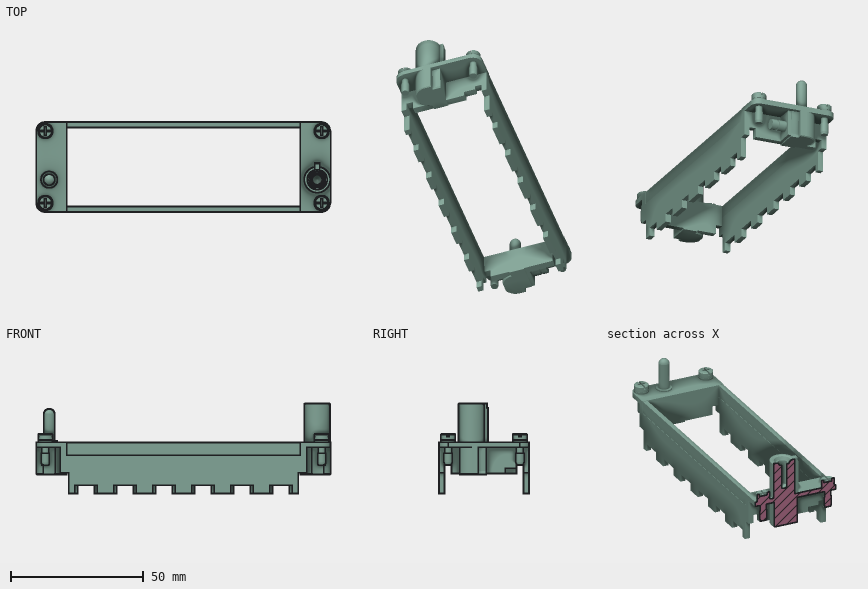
import cadquery as cq
import math

length = 111.0
width = 34.0
plate_top = 19.4
plate_thickness = 2.0
plate_bottom = plate_top - plate_thickness
corner_radius = 3.4
end_pad = 0.2

opening_half = 44.0
wall_thickness = 2.1
wall_outer = width / 2
wall_inner = wall_outer - wall_thickness
wall_half = 43.3
ear_half = 46.5
ear_bottom = 7.8
panel_bottom = 14.4
panel_recess = 0.1

notch_count = 6
notch_span = 73.5
notch_pitch = notch_span / (notch_count - 1)
notch_height = 3.1
front_notch_width = 8.5
rear_notch_width = 6.2

cross_half_width = 12.3
cross_bottom = 7.5
corner_web_bottom = 11.1
cross_notch_width = 4.3
cross_notch_bottom = 9.5

guide_y = -4.8
boss_radius = 4.9
guide_pin_x = boss_radius - length / 2
boss_bottom = 7.1
boss_chamfer = 0.3
boss_flat_y = -9.1
boss_high_y = 0.9
boss_step_y = -2.2
step_top_x = -54.0
step_waist_x = -53.3
step_foot_x = -53.5
step_waist_z = 8.4

pin_radius = 2.1
pin_shoulder = 30.2
pin_tip = 32.0
pin_collar_radius = 3.1
pin_collar_height = 0.5

socket_top = 34.0
socket_x = 50.4
socket_radius = boss_radius
socket_edge = 0.4
socket_mouth_radius = 3.8
socket_mouth_depth = 0.2
socket_throat_radius = 3.1
socket_ledge_radius = 2.4
socket_ledge_depth = 1.3
socket_hole_radius = 1.9
socket_hole_depth = 11.1
key_width = 2.0
key_reach = 6.3
key_step = 0.3
key_step_height = 1.7

screw_x = length / 2 - corner_radius
screw_y = width / 2 - corner_radius
washer_radius = 2.8
washer_height = 0.7
groove_radius = 2.7
groove_height = 0.2
head_top = 22.5
head_chamfer = 0.3
slot_width = 0.7
slot_depth = 1.1
cross_slot_length = 3.1
shank_radius = 1.3
thread_radius = 1.5
thread_top = 15.2
thread_chamfer_start = 11.8
screw_tip = 10.8
screw_tip_radius = 1.3

lug_low_y = boss_high_y
lug_high_y = 2.1
lug_end_x = -53.6
terminal_x = -50.5
terminal_z = 12.1
terminal_radius = 2.0
terminal_end_y = 8.0
terminal_groove_y = 5.2
terminal_groove_width = 0.7
terminal_groove_depth = 0.3


def block(x0, x1, y0, y1, z0, z1):
    """Axis-aligned box between two opposite corners."""
    return cq.Workplane("XY").box(x1 - x0, y1 - y0, z1 - z0, centered=False).translate((x0, y0, z0))


def cylinder(x, y, radius, z0, z1):
    """Upright cylinder from z0 to z1."""
    return cq.Workplane("XY", origin=(x, y, z0)).circle(radius).extrude(z1 - z0)


def end_plates():
    plate_end = length / 2 - end_pad
    plate = block(-length / 2, plate_end, -wall_outer, wall_outer, plate_bottom, plate_top)
    plate = plate.edges("|Z").fillet(corner_radius)
    pad_half_width = wall_outer - corner_radius
    plate = plate.union(
        block(opening_half, length / 2, -pad_half_width, pad_half_width, plate_bottom, plate_top)
    )
    return plate.cut(block(-opening_half, opening_half, -width, width, 0, plate_top))


def side_wall(side, notch_width):
    """Toothed wall; side is -1 for the -Y wall and +1 for the +Y wall."""
    inner, outer = sorted((side * wall_inner, side * wall_outer))
    wall = block(-wall_half, wall_half, inner, outer, 0, plate_top)
    wall = wall.union(block(-ear_half, ear_half, inner, outer, ear_bottom, plate_top))
    for face in (wall_inner, wall_outer):
        y = side * face
        wall = wall.cut(
            block(-opening_half, opening_half, y - panel_recess, y + panel_recess, panel_bottom, plate_top)
        )
    panel_top = plate_top - panel_recess
    wall = wall.cut(block(-opening_half, opening_half, inner, outer, panel_top, plate_top))
    for i in range(notch_count):
        x = (i - (notch_count - 1) / 2) * notch_pitch
        wall = wall.cut(block(x - notch_width / 2, x + notch_width / 2, inner, outer, 0, notch_height))
    return wall


def cross_wall():
    """Wall closing the -X end of the opening."""
    wall = block(-ear_half, -opening_half, -cross_half_width, cross_half_width, cross_bottom, plate_top)
    return wall.union(block(-ear_half, -opening_half, -wall_inner, wall_inner, corner_web_bottom, plate_top))


def boss():
    """Solid boss under the -X end plate, carrying the guide pin."""
    tip = -length / 2
    flat = block(tip, -opening_half, boss_flat_y, boss_high_y, boss_bottom, plate_bottom)
    body = cylinder(guide_pin_x, guide_y, boss_radius, boss_bottom, plate_bottom)
    body = body.faces("<Z").chamfer(boss_chamfer).intersect(flat)
    base = block(tip, -opening_half, guide_y, boss_high_y, boss_bottom, plate_bottom)
    body = body.union(base.faces("<X").edges("<Z").chamfer(boss_chamfer))
    step = (
        cq.Workplane("XZ", origin=(0, boss_high_y, 0))
        .polyline(
            [
                (tip, boss_bottom),
                (step_foot_x, boss_bottom),
                (step_waist_x, step_waist_z),
                (step_top_x, plate_bottom),
                (tip, plate_bottom),
            ]
        )
        .close()
        .extrude(boss_high_y - boss_step_y)
    )
    return body.cut(step)


def guide_pin():
    dome_radius = (pin_radius**2 + (pin_tip - pin_shoulder) ** 2) / (2 * (pin_tip - pin_shoulder))
    dome_center = pin_tip - dome_radius
    dome_mid = pin_radius / 2
    pin = (
        cq.Workplane("XZ")
        .moveTo(0, plate_bottom)
        .lineTo(pin_radius, plate_bottom)
        .lineTo(pin_radius, pin_shoulder)
        .threePointArc((dome_mid, dome_center + math.sqrt(dome_radius**2 - dome_mid**2)), (0, pin_tip))
        .close()
        .revolve(360, (0, 0, 0), (0, 1, 0))
        .translate((guide_pin_x, guide_y, 0))
    )
    return pin.union(
        cylinder(guide_pin_x, guide_y, pin_collar_radius, plate_bottom, plate_top + pin_collar_height)
    )


def guide_socket():
    body = cylinder(socket_x, guide_y, socket_radius, plate_bottom, socket_top).faces(">Z").fillet(socket_edge)
    key_y = guide_y + key_reach
    key_x0 = socket_x - key_width / 2
    key_x1 = socket_x + key_width / 2
    key = block(key_x0, key_x1, guide_y, key_y, plate_bottom, socket_top)
    key = key.cut(block(key_x0, key_x1, key_y - key_step, key_y, socket_top - key_step_height, socket_top))
    ledge = socket_top - socket_ledge_depth
    hole_bottom = socket_top - socket_hole_depth
    cavity = (
        cq.Workplane("XZ")
        .polyline(
            [
                (0, socket_top),
                (socket_mouth_radius, socket_top),
                (socket_throat_radius, socket_top - socket_mouth_depth),
                (socket_ledge_radius, ledge),
                (socket_hole_radius, ledge),
                (socket_hole_radius, hole_bottom),
                (0, hole_bottom - socket_hole_radius),
            ]
        )
        .close()
        .revolve(360, (0, 0, 0), (0, 1, 0))
        .translate((socket_x, guide_y, 0))
    )
    return body.union(key).cut(cavity)


def corner_screw():
    """Captive screw standing on the Z axis, with a slotted cross-recess head."""
    washer_top = plate_top + washer_height
    head_bottom = washer_top + groove_height
    screw = (
        cq.Workplane("XZ")
        .polyline(
            [
                (0, head_top),
                (washer_radius - head_chamfer, head_top),
                (washer_radius, head_top - head_chamfer),
                (washer_radius, head_bottom),
                (groove_radius, head_bottom),
                (groove_radius, washer_top),
                (washer_radius, washer_top),
                (washer_radius, plate_top),
                (shank_radius, plate_top),
                (shank_radius, thread_top),
                (thread_radius, thread_top),
                (thread_radius, thread_chamfer_start),
                (screw_tip_radius, screw_tip),
                (0, screw_tip),
            ]
        )
        .close()
        .revolve(360, (0, 0, 0), (0, 1, 0))
    )
    half = slot_width / 2
    slot_bottom = head_top - slot_depth
    screw = screw.cut(block(-washer_radius, washer_radius, -half, half, slot_bottom, head_top))
    reach = cross_slot_length / 2
    return screw.cut(block(-half, half, -reach, reach, slot_bottom, head_top))


def earth_terminal():
    """Lug beside the boss with a grooved terminal stud pointing along +Y."""
    lug = block(lug_end_x, -opening_half, lug_low_y, lug_high_y, cross_bottom, plate_top)

    def stud(radius, y0, y1):
        return cq.Workplane("XZ", origin=(terminal_x, y0, terminal_z)).circle(radius).extrude(y0 - y1)

    groove_end = terminal_groove_y + terminal_groove_width
    terminal = stud(terminal_radius, lug_low_y, terminal_groove_y)
    terminal = terminal.union(stud(terminal_radius - terminal_groove_depth, lug_low_y, terminal_end_y))
    terminal = terminal.union(stud(terminal_radius, groove_end, terminal_end_y))
    return lug.union(terminal)


frame = end_plates()
frame = frame.union(side_wall(-1, front_notch_width))
frame = frame.union(side_wall(1, rear_notch_width))

frame = frame.union(cross_wall())
far_cross_wall = cross_wall().mirror("YZ").cut(
    block(
        opening_half,
        ear_half,
        cross_half_width - cross_notch_width,
        cross_half_width,
        cross_bottom,
        cross_notch_bottom,
    )
)
frame = frame.union(far_cross_wall)

frame = frame.union(boss())
frame = frame.union(boss().mirror("YZ"))

frame = frame.union(earth_terminal())
frame = frame.union(guide_pin())
frame = frame.union(guide_socket())

for x in (-screw_x, screw_x):
    for y in (-screw_y, screw_y):
        frame = frame.union(corner_screw().translate((x, y, 0)))

result = frame